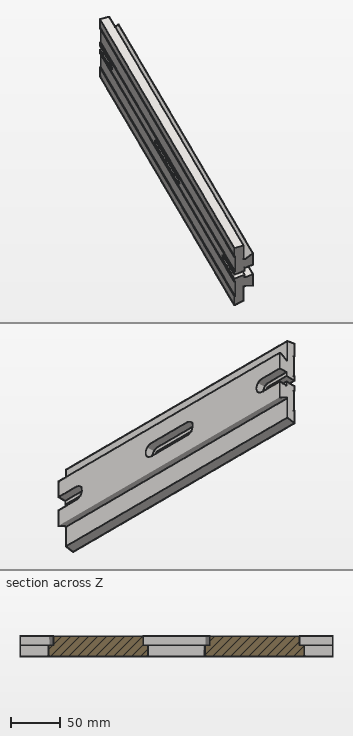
import cadquery as cq
import math

length = 316.48
depth = 21.08
height = 99.32

plate_thickness = 10.4
edge_taper_angle = 10.0

dovetail_width = 56.8
dovetail_angle = 60.0
tip_radius = 0.5
root_radius = 2.5

relief_depth = 0.8
relief_inner = 9.1
relief_outer = 33.9

slot_width = 6.8
counterbore_width = 16.4
counterbore_depth = 9.5
center_slot_length = 57.6
end_slot_length = 28.8


def make_upper_half():
    """Return the upper half of the rail, extruded along X from its (Y, Z) profile."""
    plate_back_height = height / 2 - plate_thickness * math.tan(math.radians(edge_taper_angle))

    flank_slope = math.radians(90 - dovetail_angle)
    root_chord = 2 * root_radius * math.sin(flank_slope)
    root_sagitta = root_radius * (1 - math.cos(flank_slope))
    flank_depth = depth - plate_thickness - root_chord
    tip_height = dovetail_width / 2
    root_height = tip_height - flank_depth * math.tan(flank_slope)

    half = (
        cq.Workplane("YZ")
        .moveTo(0, 0)
        .lineTo(0, relief_inner)
        .lineTo(relief_depth, relief_inner)
        .lineTo(relief_depth, relief_outer)
        .lineTo(0, relief_outer)
        .lineTo(0, height / 2)
        .lineTo(plate_thickness, plate_back_height)
        .lineTo(plate_thickness, root_height)
        .threePointArc(
            (plate_thickness + root_chord / 2, root_height - root_sagitta),
            (plate_thickness + root_chord, root_height),
        )
        .lineTo(depth, tip_height)
        .lineTo(depth, 0)
        .close()
        .extrude(length / 2, both=True)
    )
    tip_edge = half.edges(cq.selectors.NearestToPointSelector((0, depth, tip_height)))
    return tip_edge.fillet(tip_radius)


def make_rail():
    """Join the upper half to its mirror image below the center plane."""
    upper = make_upper_half()
    return upper.union(upper.mirror("XY")).clean()


def make_slot(x_start, x_end, width, y_start, y_end):
    """Return a round-ended slot cutter whose arc centers lie at x_start and x_end."""
    span = x_end - x_start
    return (
        cq.Workplane("XZ", origin=((x_start + x_end) / 2, y_start, 0))
        .slot2D(span + width, width)
        .extrude(-(y_end - y_start))
    )


def cut_counterbored_slot(body, x_start, x_end):
    """Cut a through slot with a concentric, wider counterbore from the back."""
    through = make_slot(x_start, x_end, slot_width, 0, depth)
    counterbore = make_slot(x_start, x_end, counterbore_width, depth - counterbore_depth, depth)
    return body.cut(through).cut(counterbore)


center_arc = (center_slot_length - slot_width) / 2
end_arc = length / 2 - end_slot_length + slot_width / 2
open_end = length / 2 + counterbore_width

result = make_rail()
for slot_start, slot_end in (
    (-open_end, -end_arc),
    (-center_arc, center_arc),
    (end_arc, open_end),
):
    result = cut_counterbored_slot(result, slot_start, slot_end)